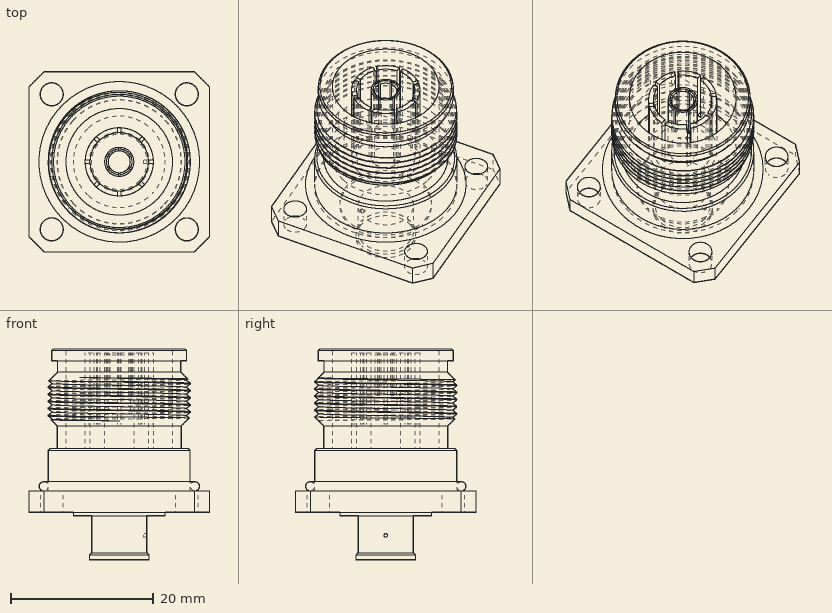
import cadquery as cq

seam_angle = 180

flange_width = 25.4
flange_thickness = 3.0
flange_corner_cut = 2.15
mount_hole_diameter = 3.2
mount_hole_spacing = 19.0

barrel_radius = 10.0
barrel_top = 9.0
barrel_chamfer = 0.3
lower_neck_radius = 8.75
upper_neck_radius = 8.7
thread_bottom = 12.15
thread_top = 19.7
rim_radius = 9.5
rim_bottom = 21.3
rim_top = 23.0
rim_chamfer = 0.25

thread_pitch = 1.0
thread_depth = 0.55
thread_crest_flat = 0.1
groove_overshoot = 0.1
groove_start = 12.1
groove_turns = 7

socket_radius = 7.5
socket_floor = 9.0
contact_recess = 0.6
contact_top = rim_top - contact_recess
outer_contact_radius = 4.8
outer_contact_bore = 4.1
outer_slot_count = 8
outer_slot_width = 0.5
outer_slot_depth = 10.0
outer_slot_angle = 0
pin_radius = 2.05
pin_bore = 1.55
pin_bore_chamfer = 0.25
pin_slot_count = 6
pin_slot_width = 0.25
pin_slot_depth = 6.0
pin_slot_angle = 30
slot_clearance = 0.1
pin_bore_depth = 8.0

pad_radius = 6.45
pad_depth = 0.5
stem_radius = 3.9
stem_collar_radius = 4.2
stem_collar_height = 1.0
stem_collar_chamfer = 0.3
stem_bottom = -6.7
side_hole_diameter = 0.5
side_hole_depth = 0.5
side_hole_height = -3.25

seal_section_radius = 0.65


def cylinder(radius, bottom, top):
    return cq.Workplane("XY").workplane(offset=bottom).circle(radius).extrude(top - bottom)


def tube(radius, bore, bottom, top):
    return cylinder(radius, bottom, top).cut(cylinder(bore, bottom, top))


def make_flange():
    return (
        cq.Workplane("XY")
        .rect(flange_width, flange_width)
        .extrude(flange_thickness)
        .edges("|Z")
        .chamfer(flange_corner_cut)
        .faces(">Z")
        .workplane()
        .rect(mount_hole_spacing, mount_hole_spacing, forConstruction=True)
        .vertices()
        .hole(mount_hole_diameter)
    )


def make_barrel():
    """Barrel, neck, thread blank with 45 degree ends, and rim as one revolved profile."""
    lower_thread_end = barrel_radius - lower_neck_radius
    upper_thread_end = barrel_radius - upper_neck_radius
    return (
        cq.Workplane("XZ")
        .moveTo(0, 0)
        .lineTo(barrel_radius, 0)
        .lineTo(barrel_radius, barrel_top - barrel_chamfer)
        .lineTo(barrel_radius - barrel_chamfer, barrel_top)
        .lineTo(lower_neck_radius, barrel_top)
        .lineTo(lower_neck_radius, thread_bottom)
        .lineTo(barrel_radius, thread_bottom + lower_thread_end)
        .lineTo(barrel_radius, thread_top - upper_thread_end)
        .lineTo(upper_neck_radius, thread_top)
        .lineTo(upper_neck_radius, rim_bottom)
        .lineTo(rim_radius, rim_bottom)
        .lineTo(rim_radius, rim_top - rim_chamfer)
        .lineTo(rim_radius - rim_chamfer, rim_top)
        .lineTo(0, rim_top)
        .close()
        .revolve()
        .rotate((0, 0, 0), (0, 0, 1), seam_angle)
    )


def make_thread_groove():
    """V groove swept along a left-hand helix that starts and ends clear of the metal."""
    half_mouth = (thread_pitch - thread_crest_flat) / 2
    half_mouth_outside = half_mouth * (thread_depth + groove_overshoot) / thread_depth
    helix = cq.Wire.makeHelix(
        thread_pitch,
        thread_pitch * groove_turns,
        barrel_radius,
        center=cq.Vector(0, 0, groove_start),
        lefthand=True,
    )
    return (
        cq.Workplane("XZ")
        .moveTo(barrel_radius - thread_depth, groove_start)
        .lineTo(barrel_radius + groove_overshoot, groove_start + half_mouth_outside)
        .lineTo(barrel_radius + groove_overshoot, groove_start - half_mouth_outside)
        .close()
        .sweep(helix, isFrenet=True)
        .rotate((0, 0, 0), (0, 0, 1), seam_angle)
    )


def cut_radial_slots(contact, radius, count, width, depth, first_angle):
    """Cut equally spaced slots down through the wall of a contact from its top."""
    slot_length = radius + slot_clearance
    for index in range(count):
        slot = (
            cq.Workplane("XY")
            .workplane(offset=contact_top - depth)
            .center(slot_length / 2, 0)
            .rect(slot_length, width)
            .extrude(depth)
            .rotate((0, 0, 0), (0, 0, 1), first_angle + 360 / count * index)
        )
        contact = contact.cut(slot)
    return contact


def make_outer_contact():
    sleeve = tube(outer_contact_radius, outer_contact_bore, socket_floor, contact_top)
    return cut_radial_slots(
        sleeve, outer_contact_radius, outer_slot_count, outer_slot_width, outer_slot_depth, outer_slot_angle
    )


def make_pin():
    pin_bore_floor = contact_top - pin_bore_depth
    sleeve = tube(pin_radius, pin_bore, pin_bore_floor, contact_top)
    sleeve = sleeve.faces(">Z").edges(cq.selectors.RadiusNthSelector(0)).chamfer(pin_bore_chamfer)
    sleeve = cut_radial_slots(
        sleeve, pin_radius, pin_slot_count, pin_slot_width, pin_slot_depth, pin_slot_angle
    )
    return sleeve.union(cylinder(pin_radius, socket_floor, pin_bore_floor))


def make_cable_end():
    pad = cylinder(pad_radius, -pad_depth, 0)
    collar_top = stem_bottom + stem_collar_height
    stem = (
        cq.Workplane("XZ")
        .moveTo(0, 0)
        .lineTo(stem_radius, 0)
        .lineTo(stem_radius, collar_top)
        .lineTo(stem_collar_radius, collar_top - stem_collar_chamfer)
        .lineTo(stem_collar_radius, stem_bottom)
        .lineTo(0, stem_bottom)
        .close()
        .revolve()
    )
    side_hole = (
        cq.Workplane("YZ")
        .workplane(offset=stem_radius - side_hole_depth)
        .center(0, side_hole_height)
        .circle(side_hole_diameter / 2)
        .extrude(2 * side_hole_depth)
    )
    return pad.union(stem).cut(side_hole)


def make_housing():
    barrel = make_barrel().cut(make_thread_groove())
    barrel = barrel.cut(cylinder(socket_radius, socket_floor, rim_top))
    body = make_flange().union(barrel).union(make_cable_end())
    return body.union(make_outer_contact()).union(make_pin())


def make_seal():
    return cq.Workplane(
        cq.Solid.makeTorus(
            barrel_radius + seal_section_radius,
            seal_section_radius,
            cq.Vector(0, 0, flange_thickness + seal_section_radius),
        )
    )


housing = make_housing()
seal = make_seal()
result = cq.Compound.makeCompound([housing.val(), seal.val()])